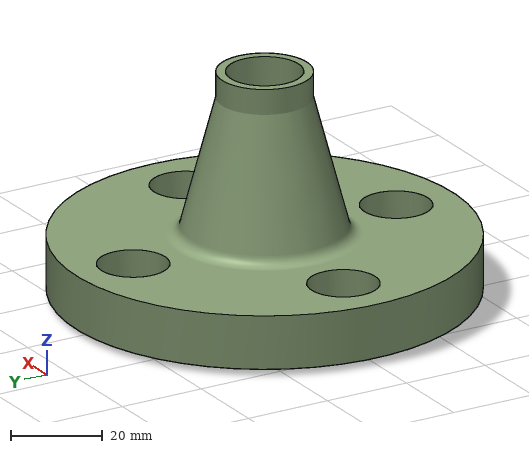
import cadquery as cq

flange_diameter = 95.2
flange_thickness = 12.6
face_diameter = 35.2
face_height = 1.6

total_height = 52.4
hub_base_diameter = 38.3
hub_fillet_radius = 3.0
neck_diameter = 21.3
neck_height = 6.0

bore_diameter = 17.0
bolt_hole_diameter = 16.0
bolt_circle_diameter = 66.7
bolt_count = 4

flange_top = face_height + flange_thickness
hub_top = total_height - neck_height


def make_body():
    """Solid of revolution: raised face, flange, tapered hub and neck."""
    half_profile = (
        cq.Workplane("XZ")
        .moveTo(0, 0)
        .lineTo(face_diameter / 2, 0)
        .lineTo(face_diameter / 2, face_height)
        .lineTo(flange_diameter / 2, face_height)
        .lineTo(flange_diameter / 2, flange_top)
        .lineTo(hub_base_diameter / 2, flange_top)
        .lineTo(neck_diameter / 2, hub_top)
        .lineTo(neck_diameter / 2, total_height)
        .lineTo(0, total_height)
        .close()
    )
    return half_profile.revolve(360, (0, 0, 0), (0, 1, 0))


def fillet_hub_base(body):
    """Round the corner where the hub meets the top of the flange."""
    hub_base_edge = body.edges("%CIRCLE").edges(cq.selectors.RadiusNthSelector(2))
    return hub_base_edge.fillet(hub_fillet_radius)


def make_bore():
    """Through bore along the axis."""
    return cq.Workplane("XY").circle(bore_diameter / 2).extrude(total_height)


def make_bolt_holes():
    """Ring of through holes, the first one on the X axis."""
    return (
        cq.Workplane("XY")
        .polarArray(bolt_circle_diameter / 2, 0, 360, bolt_count)
        .circle(bolt_hole_diameter / 2)
        .extrude(flange_top)
    )


body = fillet_hub_base(make_body())
result = body.cut(make_bore()).cut(make_bolt_holes())